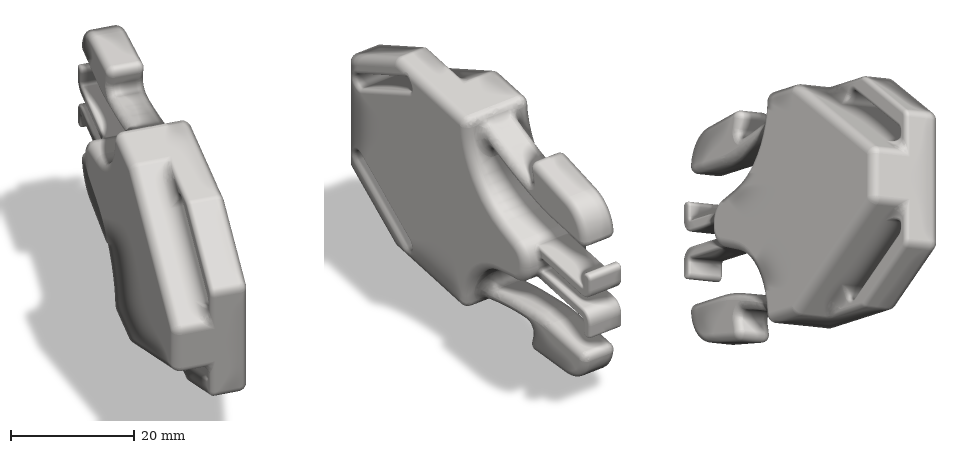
import cadquery as cq
import math

LENGTH = 66.8
DEPTH = 12.7
HEIGHT = 38.1
HALF_DEPTH = DEPTH / 2
HALF_HEIGHT = HEIGHT / 2

NOSE_X = 14.45
NOSE_FLAT = 0.3
NOSE_RADIUS = 3.8
FLANK_ANGLE = math.radians(15)
FLANK_END_X = 21.7
SHOULDER_X = 31.96
SLOPE_ANGLE = math.radians(30)
STRAP_CORNER_X = 52.8
WALL_CORNER_X = 41.4
BODY_ROUND = 1.5
CORNER_ROUND = 1.55

STRAP_FRONT_Y = 0.0
STRAP_EDGE_ROUND = 0.75
WALL_FOOT_RADIUS = 1.5
SLOT_WIDTH = 2.55
SLOT_FIRST_X = 49.3
SLOT_LAST_X = 63.55
SLOT_ROUND = 0.7

LIMB_DEPTH = 6.35
ARM_TIP = (1.7, 11.6)
ARM_BOTTOM_Z = 10.7
ARM_EDGE_ROUND = 1.23
ARM_CORNER_ROUND = 1.25
ARM_ROOT_ROUND = 1.5
HOOK_ANGLE = math.radians(7)
HOOK_ARC_END = (7.3, 17.8)
HOOK_NOSE_X = 18.2
HOOK_FOOT = (16.95, 13.95)
LEAF_END_ANGLE = math.radians(17)
ARM_TOP = (HOOK_FOOT, (23.8, 15.15), (29.84, 16.95), (34.0, 18.4))
ARM_BOTTOM = ((12.2, ARM_BOTTOM_Z), (18.97, 11.57), (23.8, 12.6), (28.6, 13.9), (34.0, 15.6))

PRONG_BOTTOM_Z = 1.25
PRONG_THICKNESS = 1.9
PRONG_TIP_Z = 6.35
PRONG_BEND_RADIUS = 2.3
PRONG_INNER_RADIUS = 0.6
PRONG_TIP_ROUND = 0.85
PRONG_EDGE_ROUND = 0.42
PRONG_ROOT_ROUND = 0.6
PRONG_END_X = 17.5

ARM_ROOT_ZONE = (29, 34, 12, 18.9)
PRONG_ROOT_ZONE = (14.2, 17, 0.5, 3.5)
ROOT_ZONE_MARGIN = 0.1

SOCKET_SIZE = 2.2
SOCKET_DEPTH = 5.0


def slope_z(corner_x, x):
    """Height of the 30-degree sloping line that leaves the top edge at corner_x."""
    return HALF_HEIGHT - (x - corner_x) * math.tan(SLOPE_ANGLE)


def extrude_between(sketch, y_min, y_max):
    """Extrude an XZ sketch, drawn on the Y = 0 plane, from y_min to y_max."""
    return sketch.extrude(y_max - y_min).translate((0, y_max, 0))


def mirrored(solid):
    """Mirror image across the Z = 0 plane."""
    return solid.mirror("XY")


def nearest(x, y, z):
    """Selector of the edge whose centre is closest to a point."""
    return cq.selectors.NearestToPointSelector((x, y, z))


def body_plate(rear_corner_x, y_min, y_max):
    """Body outline whose rear corners are cut at 30 degrees from rear_corner_x on."""
    nose_end = (
        NOSE_X + NOSE_RADIUS * (1 - math.sin(FLANK_ANGLE)),
        NOSE_FLAT + NOSE_RADIUS * math.cos(FLANK_ANGLE),
    )
    nose_mid_angle = (math.pi / 2 - FLANK_ANGLE) / 2
    nose_mid = (
        NOSE_X + NOSE_RADIUS * (1 - math.cos(nose_mid_angle)),
        NOSE_FLAT + NOSE_RADIUS * math.sin(nose_mid_angle),
    )
    flank_end = (
        FLANK_END_X,
        nose_end[1] + (FLANK_END_X - nose_end[0]) * math.tan(FLANK_ANGLE),
    )
    scoop_radius = (SHOULDER_X - FLANK_END_X) / (1 - math.sin(FLANK_ANGLE))
    scoop_end = (SHOULDER_X, flank_end[1] + scoop_radius * math.cos(FLANK_ANGLE))
    half = (
        cq.Workplane("XZ")
        .moveTo(NOSE_X, 0)
        .lineTo(NOSE_X, NOSE_FLAT)
        .threePointArc(nose_mid, nose_end)
        .lineTo(*flank_end)
        .tangentArcPoint(scoop_end, relative=False)
        .lineTo(SHOULDER_X, HALF_HEIGHT)
        .lineTo(rear_corner_x, HALF_HEIGHT)
        .lineTo(LENGTH, slope_z(rear_corner_x, LENGTH))
        .lineTo(LENGTH, 0)
        .close()
    )
    upper = extrude_between(half, y_min, y_max)
    plate = upper.union(mirrored(upper)).clean()
    corners = (
        (SHOULDER_X, HALF_HEIGHT),
        (rear_corner_x, HALF_HEIGHT),
        (LENGTH, slope_z(rear_corner_x, LENGTH)),
    )
    y_mid = (y_min + y_max) / 2
    corner_edges = []
    for side in (1, -1):
        for x, z in corners:
            corner_edges += plate.edges("|Y").edges(nearest(x, y_mid, side * z)).vals()
    return plate.newObject(corner_edges).fillet(CORNER_ROUND)


def body():
    """Strap plate behind, with a narrower block in front standing on it."""
    straps = body_plate(STRAP_CORNER_X, STRAP_FRONT_Y, HALF_DEPTH)
    straps = straps.faces(">Y").edges().fillet(BODY_ROUND)
    straps = straps.faces("<Y").edges().fillet(STRAP_EDGE_ROUND)
    block = body_plate(WALL_CORNER_X, -HALF_DEPTH, STRAP_FRONT_Y + STRAP_EDGE_ROUND)
    block = block.faces("<Y").edges().fillet(BODY_ROUND)
    return straps.union(block).clean()


def wall_foot(solid):
    """Concave fillet where the sloping walls of the block stand on the straps."""
    x_mid = (WALL_CORNER_X + LENGTH) / 2
    z_mid = slope_z(WALL_CORNER_X, x_mid)
    for side in (1, -1):
        foot = solid.edges(nearest(x_mid, STRAP_FRONT_Y, side * z_mid))
        solid = foot.fillet(WALL_FOOT_RADIUS)
    return solid


def strap_slot(solid, side):
    """Slot along the foot of one wall, rounded at both of its mouths."""
    half_rise = SLOT_WIDTH / 2 / math.cos(SLOPE_ANGLE)
    x_mid = (SLOT_FIRST_X + SLOT_LAST_X) / 2
    z_mid = slope_z(WALL_CORNER_X, x_mid) + half_rise
    length = (SLOT_LAST_X - SLOT_FIRST_X) / math.cos(SLOPE_ANGLE) + SLOT_WIDTH
    sketch = (
        cq.Workplane("XZ")
        .center(x_mid, side * z_mid)
        .slot2D(length, SLOT_WIDTH, -side * math.degrees(SLOPE_ANGLE))
    )
    solid = solid.cut(extrude_between(sketch, -HALF_DEPTH, HALF_DEPTH))
    for mouth_y in (STRAP_FRONT_Y, HALF_DEPTH):
        strap_side = nearest(x_mid, mouth_y, side * (z_mid + half_rise))
        solid = solid.edges(strap_side).fillet(SLOT_ROUND)
    return solid


def spring_arm():
    """Upper arm: a flexible leaf that ends in a hook."""
    nose = (
        HOOK_NOSE_X,
        HOOK_ARC_END[1] + (HOOK_NOSE_X - HOOK_ARC_END[0]) * math.tan(HOOK_ANGLE),
    )
    leaf_end = (math.cos(LEAF_END_ANGLE), math.sin(LEAF_END_ANGLE))
    sketch = (
        cq.Workplane("XZ")
        .moveTo(*ARM_TOP[-1])
        .spline(ARM_TOP[-2::-1], includeCurrent=True)
        .lineTo(*nose)
        .lineTo(*HOOK_ARC_END)
        .tangentArcPoint(ARM_TIP, relative=False)
        .lineTo(ARM_TIP[0], ARM_BOTTOM_Z)
        .lineTo(*ARM_BOTTOM[0])
        .spline(ARM_BOTTOM[1:], tangents=[(1, 0), leaf_end], includeCurrent=True)
        .close()
    )
    arm = extrude_between(sketch, -LIMB_DEPTH / 2, LIMB_DEPTH / 2)
    for x, z in ((ARM_TIP[0], ARM_BOTTOM_Z), nose, HOOK_FOOT):
        arm = arm.edges("|Y").edges(nearest(x, 0, z)).fillet(ARM_CORNER_ROUND)
    return arm.faces("<Y or >Y").edges().fillet(ARM_EDGE_ROUND)


def guide_prong():
    """Upper prong: a thin strip with an upturned tip."""
    top = PRONG_BOTTOM_Z + PRONG_THICKNESS
    sketch = (
        cq.Workplane("XZ")
        .moveTo(PRONG_END_X, PRONG_BOTTOM_Z)
        .lineTo(0, PRONG_BOTTOM_Z)
        .lineTo(0, PRONG_TIP_Z)
        .lineTo(PRONG_THICKNESS, PRONG_TIP_Z)
        .lineTo(PRONG_THICKNESS, top)
        .lineTo(PRONG_END_X, top)
        .close()
    )
    prong = extrude_between(sketch, -LIMB_DEPTH / 2, LIMB_DEPTH / 2)
    prong = prong.edges("|Y").edges(nearest(0, 0, PRONG_BOTTOM_Z)).fillet(PRONG_BEND_RADIUS)
    prong = prong.edges("|Y").edges(nearest(PRONG_THICKNESS, 0, top)).fillet(PRONG_INNER_RADIUS)
    prong = prong.faces(">Z").edges("|Y").fillet(PRONG_TIP_ROUND)
    return prong.faces("<Y or >Y").edges().fillet(PRONG_EDGE_ROUND)


def add_limb(solid, limb, root_zone, root_round):
    """Join a limb and its mirror image to the body and blend both roots.

    root_zone is the X and Z range that holds the edges of the upper root.
    """
    x_min, x_max, z_min, z_max = root_zone
    y_max = LIMB_DEPTH / 2 + ROOT_ZONE_MARGIN
    solid = solid.union(limb).union(mirrored(limb)).clean()
    for z_low, z_high in ((z_min, z_max), (-z_max, -z_min)):
        root = cq.selectors.BoxSelector((x_min, -y_max, z_low), (x_max, y_max, z_high))
        solid = solid.edges(root).fillet(root_round)
    return solid


def nose_socket():
    """Blind square socket that opens in the middle of the nose."""
    length = SOCKET_DEPTH + PRONG_ROOT_ROUND
    socket = cq.Workplane("XY").box(length, SOCKET_SIZE, SOCKET_SIZE)
    return socket.translate((NOSE_X + SOCKET_DEPTH - length / 2, 0, 0))


buckle = wall_foot(body())
for side in (1, -1):
    buckle = strap_slot(buckle, side)
buckle = add_limb(buckle, spring_arm(), ARM_ROOT_ZONE, ARM_ROOT_ROUND)
buckle = add_limb(buckle, guide_prong(), PRONG_ROOT_ZONE, PRONG_ROOT_ROUND)
result = buckle.cut(nose_socket())